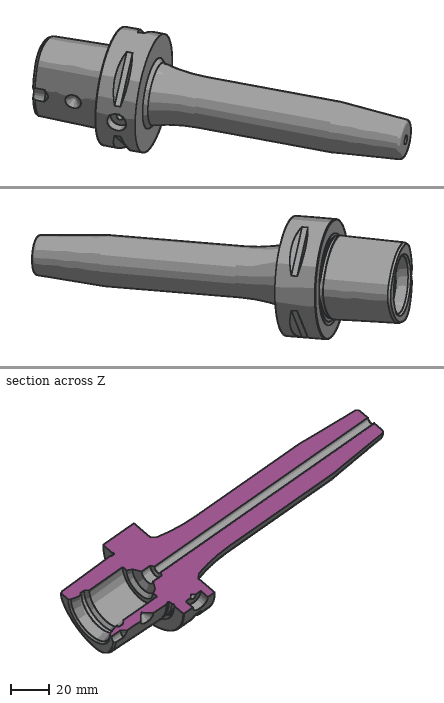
import cadquery as cq
import math

total_length = 198.0

shank_length = 38.0
core_radius = 10.3
lobe_radius_at_tip = 12.3
shank_taper = 1.4
tip_chamfer_length = 1.4
tip_chamfer_depth = 0.7
relief_length = 1.8
relief_depth = 0.5

flange_radius = 31.5
flange_end = 60.0
flange_chamfer = 0.4
ring_groove_radius = 23.2
ring_groove_curvature = 1.2
ring_groove_depth = 0.5

neck_start_radius = 18.8
neck_cone = 2.2
stem_radius = 13.5
stem_start = 86.7
nose_start = 160.0
nose_radius = 10.5
nose_fillet = 2.0

mouth_radius = 16.2
entry_radius = 15.2
entry_chamfer = 1.2
entry_end = 6.0
lip_radius = 13.9
lip_length = 1.4
catch_groove_radius = 15.0
catch_groove_length = 2.8
catch_groove_slope = 2.2
bore_radius = 13.3
bore_depth = 35.6
seat_radius = 10.3
seat_length = 2.8
seat_throat_radius = 8.7
pilot_radius = 4.4
pilot_length = 6.0
drill_tip_angle = 118.0
coolant_radius = 2.4

slot_count = 4
slot_position = 49.9
slot_floor_radius = 28.0
slot_floor_half_width = 1.5
slot_flank_angle = 32.0

notch_axis_radius = 22.2
notch_radius = 4.5
notch_length = 6.3
dimple_position = 22.4
dimple_radius = 4.4
chip_radius = 5.1
chip_depth = 5.5
chip_dimple_radius = 1.8


def lobed_outline(position, lobe_radius):
    """Closed rounded-triangle outline across X, one lobe pointing to +Y."""
    flank_radius = lobe_radius + math.sqrt(3) * core_radius

    def arc_point(center_angle, radius, direction):
        center = math.radians(center_angle)
        along = math.radians(direction)
        return (
            core_radius * math.cos(center) + radius * math.cos(along),
            core_radius * math.sin(center) + radius * math.sin(along),
        )

    outline = cq.Workplane("YZ", origin=(position, 0, 0)).moveTo(*arc_point(0, lobe_radius, -30))
    for lobe in (0, 120, 240):
        outline = outline.threePointArc(
            arc_point(lobe, lobe_radius, lobe), arc_point(lobe, lobe_radius, lobe + 30)
        )
        opposite = lobe + 240
        outline = outline.threePointArc(
            arc_point(opposite, flank_radius, lobe + 60), arc_point(opposite, flank_radius, lobe + 90)
        )
    return outline.close()


def make_shank():
    chamfer_angle = math.degrees(math.atan2(tip_chamfer_depth, tip_chamfer_length))
    tip = lobed_outline(0, lobe_radius_at_tip - tip_chamfer_depth).extrude(
        tip_chamfer_length, taper=-chamfer_angle
    )
    taper_length = shank_length - relief_length - tip_chamfer_length
    taper = lobed_outline(tip_chamfer_length, lobe_radius_at_tip).extrude(taper_length, taper=-shank_taper)
    relief_radius = lobe_radius_at_tip + taper_length * math.tan(math.radians(shank_taper)) - relief_depth
    relief = lobed_outline(shank_length - relief_length, relief_radius).extrude(
        relief_length + ring_groove_depth
    )
    return tip.union(taper).union(relief)


def make_flange_and_stem():
    neck_end = flange_end + neck_cone
    neck_end_radius = neck_start_radius - neck_cone
    neck_drop = neck_end_radius - stem_radius
    neck_length = stem_start - neck_end
    neck_arc_radius = (neck_length**2 + neck_drop**2) / (2 * neck_drop)
    profile = (
        cq.Workplane("XZ")
        .moveTo(shank_length, 0)
        .lineTo(shank_length, flange_radius - flange_chamfer)
        .lineTo(shank_length + flange_chamfer, flange_radius)
        .lineTo(flange_end, flange_radius)
        .lineTo(flange_end, neck_start_radius)
        .lineTo(neck_end, neck_end_radius)
        .radiusArc((stem_start, stem_radius), -neck_arc_radius)
        .lineTo(nose_start, stem_radius)
        .lineTo(total_length, nose_radius)
        .lineTo(total_length, 0)
        .close()
    )
    body = profile.revolve(360, (0, 0, 0), (1, 0, 0))
    body = body.faces(">X").edges().fillet(nose_fillet)
    groove_center = shank_length + ring_groove_depth - ring_groove_curvature
    groove = (
        cq.Workplane("XZ")
        .center(groove_center, ring_groove_radius)
        .circle(ring_groove_curvature)
        .revolve(360, (0, -ring_groove_radius, 0), (1, -ring_groove_radius, 0))
    )
    return body.cut(groove)


def make_bore():
    groove_start = entry_end + lip_length
    groove_end = groove_start + catch_groove_length
    seat_end = bore_depth + seat_length
    drill_slope = math.tan(math.radians(drill_tip_angle / 2))
    pilot_start = seat_end + (seat_throat_radius - pilot_radius) / drill_slope
    pilot_end = pilot_start + pilot_length
    pilot_tip_length = (pilot_radius - coolant_radius) / drill_slope
    profile = (
        cq.Workplane("XZ")
        .polyline(
            [
                (0, 0),
                (0, mouth_radius),
                (entry_chamfer, entry_radius),
                (entry_end, lip_radius),
                (groove_start, lip_radius),
                (groove_start, catch_groove_radius),
                (groove_end, catch_groove_radius),
                (groove_end + catch_groove_slope, bore_radius),
                (bore_depth, bore_radius),
                (bore_depth, seat_radius),
                (seat_end, seat_throat_radius),
                (pilot_start, pilot_radius),
                (pilot_end, pilot_radius),
                (pilot_end + pilot_tip_length, coolant_radius),
                (total_length, coolant_radius),
                (total_length, 0),
            ]
        )
        .close()
    )
    return profile.revolve(360, (0, 0, 0), (1, 0, 0))


def make_gripper_slots():
    height = flange_radius - slot_floor_radius
    mouth_half_width = slot_floor_half_width + height * math.tan(math.radians(slot_flank_angle))
    slot = (
        cq.Workplane("XZ")
        .polyline(
            [
                (slot_position - slot_floor_half_width, slot_floor_radius),
                (slot_position + slot_floor_half_width, slot_floor_radius),
                (slot_position + mouth_half_width, flange_radius),
                (slot_position - mouth_half_width, flange_radius),
            ]
        )
        .close()
        .extrude(flange_radius, both=True)
    )
    pitch = 360 / slot_count
    slots = cq.Workplane("XY")
    for index in range(slot_count):
        slots = slots.add(slot.rotate((0, 0, 0), (1, 0, 0), pitch * (index + 0.5)))
    return slots.combine()


def make_notch():
    """Shallow axial groove at the shank tip, ending in a 45 degree cone."""
    return (
        cq.Workplane("XZ", origin=(0, -notch_axis_radius, 0))
        .polyline([(0, 0), (0, notch_radius), (notch_length, notch_radius), (notch_length + notch_radius, 0)])
        .close()
        .revolve(360, (0, 0, 0), (1, 0, 0))
    )


def make_dimple(position, surface_radius, radius):
    """90 degree conical dimple sunk into a face looking toward -Y."""
    return (
        cq.Workplane("YZ", origin=(position, -surface_radius, 0))
        .polyline([(radius, 0), (-radius, 2 * radius), (-radius, 0)])
        .close()
        .revolve(360, (0, 0, 0), (1, 0, 0))
    )


def make_chip_pocket():
    floor = flange_radius - chip_depth
    pocket = (
        cq.Workplane("XZ", origin=(slot_position, -floor, 0)).circle(chip_radius).extrude(2 * chip_depth)
    )
    return pocket.union(make_dimple(slot_position, floor, chip_dimple_radius))


dimple_surface = (
    lobe_radius_at_tip
    + (math.sqrt(3) - 1) * core_radius
    + (dimple_position - tip_chamfer_length) * math.tan(math.radians(shank_taper))
)

result = (
    make_flange_and_stem()
    .union(make_shank())
    .cut(make_bore())
    .cut(make_gripper_slots())
    .cut(make_notch())
    .cut(make_dimple(dimple_position, dimple_surface, dimple_radius))
    .cut(make_chip_pocket())
)